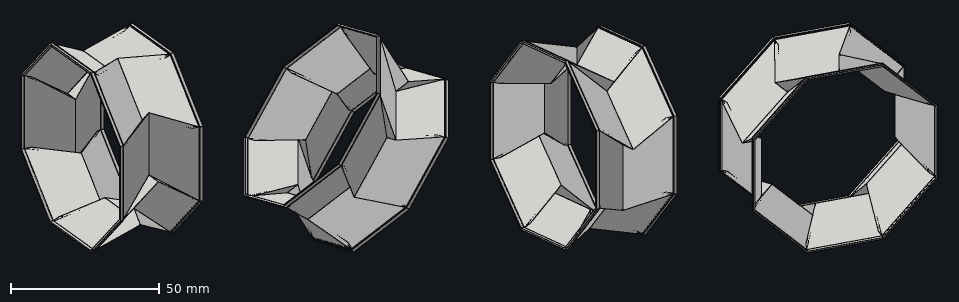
import cadquery as cq
import math

across_flats = 66.8
width = 32.4
wall = 0.7
side_count = 8

rim_length = 1.3
rim_step = 0.3

waist_apothem = 24.8
waist_end = 3.95

side_angle = 2 * math.pi / side_count
half_side_ratio = math.tan(side_angle / 2)
outer_apothem = across_flats / 2
inner_apothem = outer_apothem - wall
fold_apothem = outer_apothem - rim_step
fold_y = width / 2 - rim_length


def turned(along, apothem, side, y):
    """Point on a numbered side, at a distance along it and out from the axis."""
    angle = -side * side_angle
    x = along * math.cos(angle) - apothem * math.sin(angle)
    z = along * math.sin(angle) + apothem * math.cos(angle)
    return cq.Vector(x, y, z)


def flat_face(points):
    return cq.Face.makeFromWires(cq.Wire.makePolygon(points, close=True))


def octagon_prism(apothem, y_start, length):
    corner_radius = apothem / math.cos(side_angle / 2)
    corners = []
    for side in range(side_count):
        angle = (side + 0.5) * side_angle
        corners.append((corner_radius * math.cos(angle), corner_radius * math.sin(angle)))
    plane = cq.Plane(origin=(0, y_start, 0), xDir=(1, 0, 0), normal=(0, 1, 0))
    return cq.Workplane(plane).polyline(corners).close().extrude(length)


def folded_body(rim_apothem, inset):
    """Solid pinched to a saw-toothed waist, with the waist moved in by inset."""
    half_side = rim_apothem * half_side_ratio
    waist = waist_apothem - inset
    end = waist_end + inset
    start = (end - waist * math.sin(side_angle)) / math.cos(side_angle)

    step_at_rim = fold_apothem * half_side_ratio + inset
    corner_drift = half_side - waist * half_side_ratio
    tip_fraction = (step_at_rim - half_side) / (step_at_rim - end - corner_drift)
    tip_along = half_side - tip_fraction * corner_drift
    tip_apothem = rim_apothem - tip_fraction * (rim_apothem - waist)

    faces = []
    for y in (-fold_y, fold_y):
        tip_y = y * (1 - tip_fraction)
        rim = [turned(half_side, rim_apothem, side, y) for side in range(side_count)]
        tips = [turned(tip_along, tip_apothem, side, tip_y) for side in range(side_count)]
        faces.append(flat_face(rim))
        for side in range(side_count):
            waist_first = turned(start, waist, side, 0)
            waist_last = turned(end, waist, side, 0)
            next_first = turned(start, waist, side + 1, 0)
            if tip_fraction > 0:
                panel = [rim[side - 1], rim[side], tips[side], waist_last, waist_first, tips[side - 1]]
            else:
                panel = [rim[side - 1], rim[side], waist_last, waist_first]
            faces.append(flat_face(panel))
            faces.append(flat_face([tips[side], waist_last, next_first]))
    return cq.Workplane(cq.Solid.makeSolid(cq.Shell.makeShell(faces)))


def rim_band(y_start):
    outer = octagon_prism(outer_apothem, y_start, rim_length)
    return outer.cut(octagon_prism(inner_apothem, y_start, rim_length))


result = folded_body(fold_apothem, 0).cut(folded_body(inner_apothem, wall))
for rim_start in (-width / 2, fold_y):
    result = result.union(rim_band(rim_start))